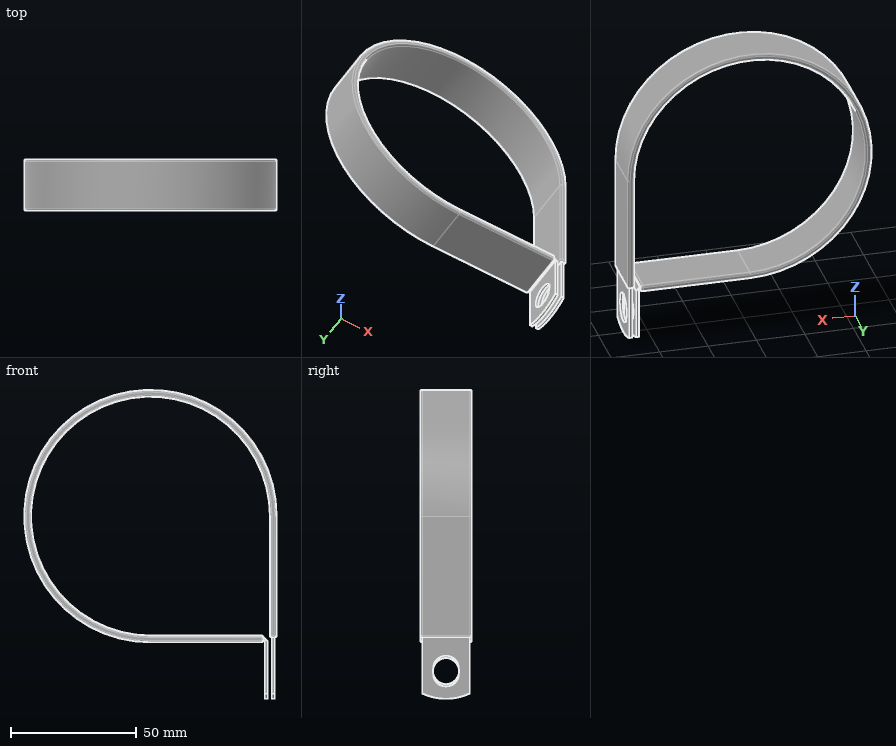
import cadquery as cq
import math


bore_diameter = 95.25
strip_width = 19.05
strip_thickness = 1.2192
cushion_wall = 0.79375
tab_end_z = -73.0
tab_end_radius = 22.2
bend_chamfer = 1.55
tab_gap = 1.5875
hole_diameter = 10.32
side_tab_slot_length = 12.3
hole_to_tab_end = 11.11
lower_cushion_end_x = 45.0

cushion_inner_radius = bore_diameter / 2
strip_inner_radius = cushion_inner_radius + cushion_wall
strip_outer_radius = strip_inner_radius + strip_thickness
cushion_outer_radius = strip_outer_radius + cushion_wall
cushion_width = strip_width + 2 * cushion_wall
upper_cushion_end_z = -strip_inner_radius
bent_tab_outer_x = strip_inner_radius - tab_gap
bent_tab_inner_x = bent_tab_outer_x - strip_thickness
hole_z = tab_end_z + hole_to_tab_end


def loop_arc(sketch, radius):
    """Three-quarter turn from the bottom of the loop, over the top, to its +X side."""
    diagonal = radius * math.sqrt(0.5)
    return sketch.threePointArc((-diagonal, diagonal), (radius, 0))


def return_arc(sketch, radius):
    """The same three-quarter turn, drawn from the +X side back to the bottom."""
    diagonal = radius * math.sqrt(0.5)
    return sketch.threePointArc((-diagonal, diagonal), (0, -radius))


def make_strip():
    """Metal strip: loop, straight side tab and a second tab bent down from the bottom leg."""
    outline = cq.Workplane("XZ").moveTo(bent_tab_inner_x, tab_end_z)
    outline = outline.lineTo(bent_tab_inner_x, -strip_outer_radius).lineTo(0, -strip_outer_radius)
    outline = loop_arc(outline, strip_outer_radius)
    outline = outline.lineTo(strip_outer_radius, tab_end_z).lineTo(strip_inner_radius, tab_end_z)
    outline = outline.lineTo(strip_inner_radius, 0)
    outline = return_arc(outline, strip_inner_radius)
    outline = outline.lineTo(bent_tab_outer_x - bend_chamfer, -strip_inner_radius)
    outline = outline.lineTo(bent_tab_outer_x, -strip_inner_radius - bend_chamfer)
    outline = outline.lineTo(bent_tab_outer_x, tab_end_z).close()
    return outline.extrude(strip_width / 2, both=True)


def shape_tabs(strip):
    """Round the tips of both tabs and cut the bolt hole in one and the slot in the other."""
    half_width = strip_width / 2
    tip_rise = tab_end_radius - math.sqrt(tab_end_radius**2 - half_width**2)
    envelope = (
        cq.Workplane("YZ", origin=(-cushion_outer_radius, 0, 0))
        .moveTo(-half_width, cushion_outer_radius)
        .lineTo(-half_width, tab_end_z + tip_rise)
        .threePointArc((0, tab_end_z), (half_width, tab_end_z + tip_rise))
        .lineTo(half_width, cushion_outer_radius)
        .close()
        .extrude(2 * cushion_outer_radius)
    )
    bent_tab_hole = (
        cq.Workplane("YZ", origin=(bent_tab_inner_x, 0, hole_z))
        .circle(hole_diameter / 2)
        .extrude(strip_thickness)
    )
    side_tab_slot = (
        cq.Workplane("YZ", origin=(strip_inner_radius, 0, hole_z))
        .slot2D(side_tab_slot_length, hole_diameter, 90)
        .extrude(strip_thickness)
    )
    return strip.intersect(envelope).cut(bent_tab_hole).cut(side_tab_slot)


def make_cushion():
    """Cushion around the loop: every edge rounded, both along its length and at its ends."""
    outline = cq.Workplane("XZ").moveTo(lower_cushion_end_x, -cushion_outer_radius)
    outline = outline.lineTo(0, -cushion_outer_radius)
    outline = loop_arc(outline, cushion_outer_radius)
    outline = outline.lineTo(cushion_outer_radius, upper_cushion_end_z)
    outline = outline.lineTo(cushion_inner_radius, upper_cushion_end_z)
    outline = outline.lineTo(cushion_inner_radius, 0)
    outline = return_arc(outline, cushion_inner_radius)
    outline = outline.lineTo(lower_cushion_end_x, -cushion_inner_radius).close()
    cushion = outline.extrude(cushion_width / 2, both=True)

    return cushion.edges().fillet(cushion_wall)


result = make_cushion().union(shape_tabs(make_strip()))